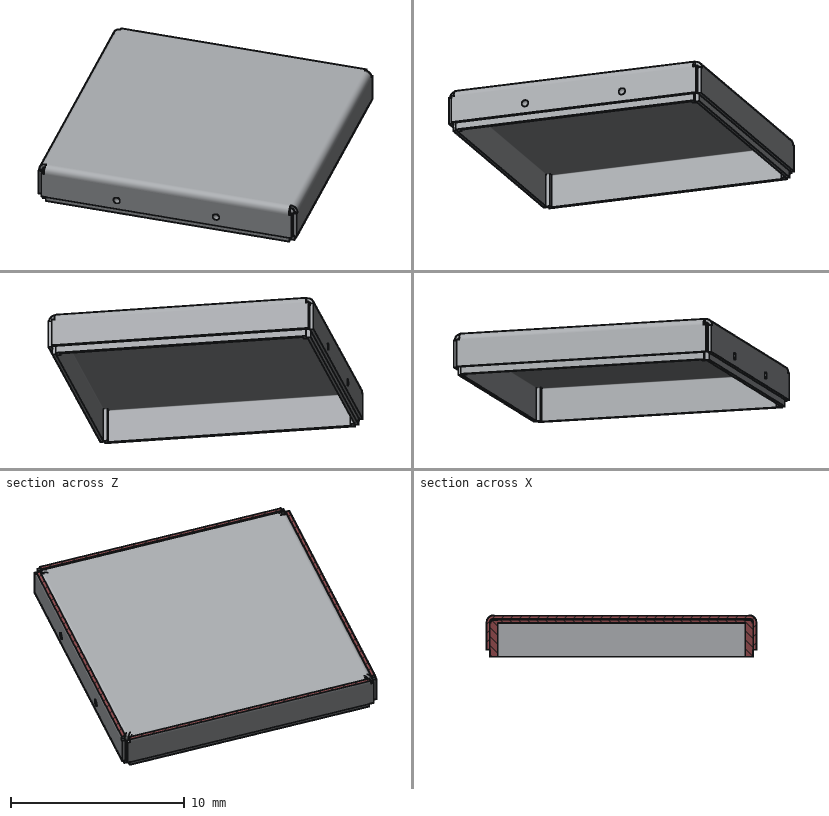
import cadquery as cq

TOTAL_HEIGHT = 2.4
SHEET = 0.2

COVER_SIDE = 15.6
COVER_HEIGHT = 2.0
BEND_DIAMETER = 0.83
FLANGE_INSET = 0.25

BEND_RADIUS = BEND_DIAMETER / 2
PLATE_SIDE = COVER_SIDE - BEND_DIAMETER
COVER_BOTTOM = TOTAL_HEIGHT - COVER_HEIGHT
BEND_BOTTOM = TOTAL_HEIGHT - BEND_RADIUS
FLANGE_LENGTH = COVER_SIDE - 2 * FLANGE_INSET

DIMPLE_DIAMETER = 0.42
DIMPLE_DEPTH = 0.14
DIMPLE_SPACING = 5.99
DIMPLE_HEIGHT = 1.0

FRAME_SIDE = COVER_SIDE - 2 * SHEET
FRAME_HEIGHT = 2.15
CORNER_NOTCH = 0.25
FRAME_ROUNDING = 0.25

QUARTER_TURNS = [0, 90, 180, 270]


def turned_about_z(body, angle):
    return body.rotate((0, 0, 0), (0, 0, 1), angle)



def cover_plate():
    return (
        cq.Workplane("XY", origin=(0, 0, TOTAL_HEIGHT - SHEET))
        .rect(PLATE_SIDE, PLATE_SIDE)
        .extrude(SHEET)
    )


def cover_bend():
    """Quarter ring along the -Y side, as long as the plate."""
    bend_centre_y = -PLATE_SIDE / 2
    start = cq.Workplane("YZ", origin=(-PLATE_SIDE / 2, bend_centre_y, BEND_BOTTOM))
    ring = start.circle(BEND_RADIUS).circle(BEND_RADIUS - SHEET).extrude(PLATE_SIDE)
    upper_outer_quarter = (
        start.center(-BEND_RADIUS / 2, BEND_RADIUS / 2)
        .rect(BEND_RADIUS, BEND_RADIUS)
        .extrude(PLATE_SIDE)
    )
    return ring.intersect(upper_outer_quarter)


def cover_flange():
    """Flat flange below the -Y bend, reaching past both ends of the bend."""
    flange_height = BEND_BOTTOM - COVER_BOTTOM
    return (
        cq.Workplane("XY", origin=(0, (SHEET - COVER_SIDE) / 2, COVER_BOTTOM))
        .rect(FLANGE_LENGTH, SHEET)
        .extrude(flange_height)
    )


def dimples():
    """Spheres that cut two shallow dimples into the front flange and two into the back flange."""
    sphere_radius = DIMPLE_DIAMETER / 2
    sphere_offset = COVER_SIDE / 2 + sphere_radius - DIMPLE_DEPTH
    return (
        cq.Workplane("XY", origin=(0, 0, DIMPLE_HEIGHT))
        .rect(DIMPLE_SPACING, 2 * sphere_offset, forConstruction=True)
        .vertices()
        .sphere(sphere_radius)
    )


def make_cover():
    cover = cover_plate()
    bend = cover_bend()
    flange = cover_flange()
    for angle in QUARTER_TURNS:
        cover = cover.union(turned_about_z(bend, angle))
        cover = cover.union(turned_about_z(flange, angle))
    return cover.cut(dimples())



def notched_block(side, height, rounding):
    """Square block with a square notch in each corner, rounded all around its top."""
    notched_side = side - 2 * CORNER_NOTCH
    along_x = cq.Workplane("XY").rect(side, notched_side).extrude(height)
    along_y = cq.Workplane("XY").rect(notched_side, side).extrude(height)
    return along_x.union(along_y).faces(">Z").edges().fillet(rounding)


def make_frame():
    """Notched shell, open at the bottom, with one sheet thickness everywhere."""
    outside = notched_block(FRAME_SIDE, FRAME_HEIGHT, FRAME_ROUNDING)
    cavity = notched_block(FRAME_SIDE - 2 * SHEET, FRAME_HEIGHT - SHEET, FRAME_ROUNDING - SHEET)
    return outside.cut(cavity)


cover = make_cover()
frame = make_frame()

result = cq.Compound.makeCompound([cover.solids().val(), frame.solids().val()])